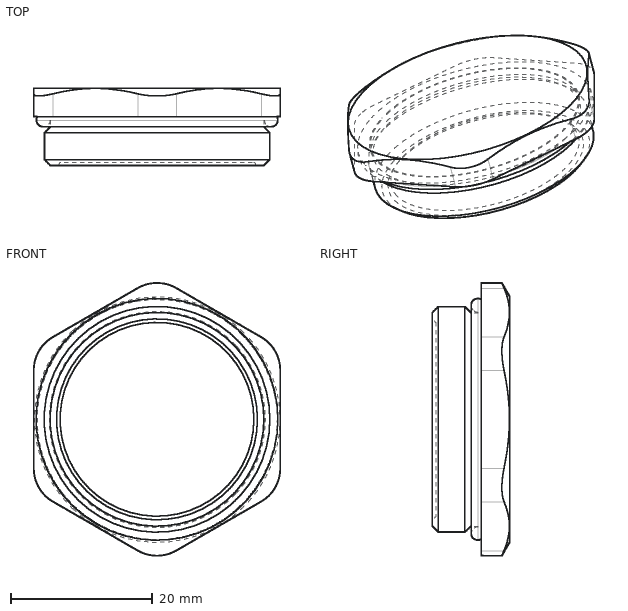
import cadquery as cq
import math

across_flats = 35.0
across_corners = 38.7
head_thickness = 4.05
head_back_radius = 17.42
head_chamfer_angle = 30.0

shank_length = 6.93
shank_diameter = 32.0
groove_diameter = 30.3
shank_chamfer = (shank_diameter - groove_diameter) / 2
groove_width = 1.45

ring_section_radius = 0.95
ring_outer_radius = 17.15
ring_center_radius = ring_outer_radius - ring_section_radius
ring_center_y = ring_section_radius - groove_width

recess_mouth_diameter = 28.5
recess_floor_diameter = 27.5
recess_depth = (recess_mouth_diameter - recess_floor_diameter) / 2


def revolve_profile(points):
    """Revolve a closed (radius, y) outline about the Y axis."""
    return cq.Workplane("XY").polyline(points).close().revolve(360, (0, 0, 0), (0, 1, 0))


def make_head():
    sharp_corners = across_flats / math.cos(math.radians(30))
    trim_fraction = 1 / math.cos(math.radians(30)) - 1
    corner_radius = (sharp_corners - across_corners) / 2 / trim_fraction
    hexagon = (
        cq.Workplane("XZ")
        .transformed(rotate=(0, 0, 90))
        .polygon(6, sharp_corners)
        .extrude(-head_thickness)
        .edges("|Y")
        .fillet(corner_radius)
    )
    cone_base_radius = head_back_radius + head_thickness / math.tan(math.radians(head_chamfer_angle))
    cone = revolve_profile([
        (0, 0),
        (cone_base_radius, 0),
        (head_back_radius, head_thickness),
        (0, head_thickness),
    ])
    return hexagon.intersect(cone)


def make_shank():
    shank_radius = shank_diameter / 2
    groove_radius = groove_diameter / 2
    return revolve_profile([
        (0, 0),
        (groove_radius, 0),
        (groove_radius, -groove_width),
        (shank_radius, -groove_width - shank_chamfer),
        (shank_radius, -shank_length + shank_chamfer),
        (shank_radius - shank_chamfer, -shank_length),
        (recess_mouth_diameter / 2, -shank_length),
        (recess_floor_diameter / 2, -shank_length + recess_depth),
        (0, -shank_length + recess_depth),
    ])


def make_ring():
    return (
        cq.Workplane("XY")
        .center(ring_center_radius, ring_center_y)
        .circle(ring_section_radius)
        .revolve(360, (-ring_center_radius, 0, 0), (-ring_center_radius, 1, 0))
    )


result = make_head().union(make_shank()).union(make_ring())